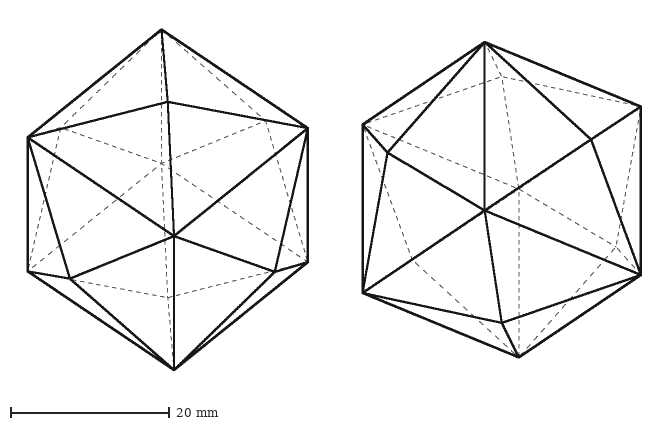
import cadquery as cq

APEX_HEIGHT = 18.33
CUBE_SIDE = 25.08

AXES = ("X", "Y", "Z")


def axis_vector(axis, length):
    """Vector of the given signed length along one named axis."""
    return cq.Vector(*(length if name == axis else 0.0 for name in AXES))


def triangle_face(points):
    """Flat triangular face through three points."""
    return cq.Face.makeFromWires(cq.Wire.makePolygon(points, close=True))


def pyramid_faces(axis, sign):
    """The four sloping faces that meet at the tip on one side of the die."""
    half_side = CUBE_SIDE / 2
    first, second = (name for name in AXES if name != axis)
    tip = axis_vector(axis, sign * APEX_HEIGHT)
    base_centre = axis_vector(axis, sign * half_side)
    corners = [
        base_centre + axis_vector(first, u * half_side) + axis_vector(second, v * half_side)
        for u, v in ((-1, -1), (1, -1), (1, 1), (-1, 1))
    ]
    return [triangle_face([tip, corners[i - 1], corners[i]]) for i in range(len(corners))]


faces = []
for axis in AXES:
    for sign in (-1, 1):
        faces.extend(pyramid_faces(axis, sign))

result = cq.Workplane("XY").newObject([cq.Solid.makeSolid(cq.Shell.makeShell(faces))])